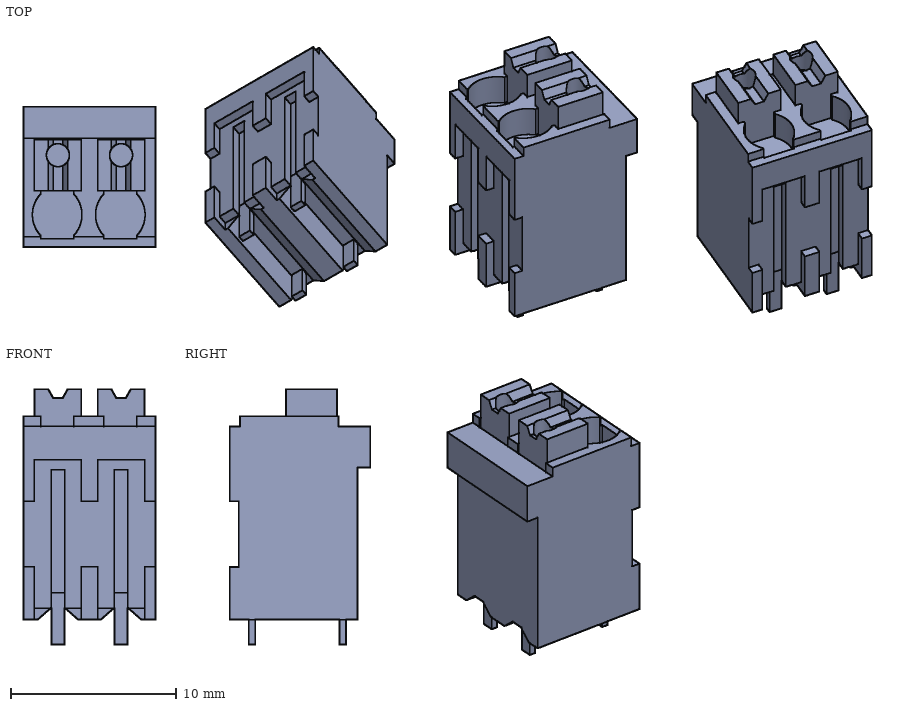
import cadquery as cq


POLE_COUNT = 2
POLE_PITCH = 3.82
POLE_XS = [(i - (POLE_COUNT - 1) / 2) * POLE_PITCH for i in range(POLE_COUNT)]

WIDTH = 8.0
BODY_DEPTH = 7.72
FULL_DEPTH = 8.5
BASE_Z = 1.51
SHOULDER_Z = 13.2
CROWN_Z = 13.81
CROWN_FRONT_Y = 0.62
CROWN_BACK_Y = 6.58
LEDGE_BASE_Z = 10.7

PIN_WIDTH = 0.8
PIN_THICKNESS = 0.4
PIN_TOP_Z = 3.14
FRONT_PIN_Y = 1.15
REAR_PIN_Y = 6.63

BUTTON_WIDTH = 2.85
BUTTON_FRONT_Y = 3.4
BUTTON_BACK_Y = 6.49
BUTTON_TOP_Z = 15.45
GROOVE_TOP_WIDTH = 1.17
GROOVE_FLOOR_WIDTH = 0.59
GROOVE_DEPTH = 0.53
TOOL_HOLE_DIAMETER = 1.39
TOOL_HOLE_Y = 5.56
TOOL_HOLE_FLOOR_Z = CROWN_Z

ENTRY_FLOOR_Z = 11.9
ENTRY_FRONT_Y = 0.51
ENTRY_CENTER_Y = 1.96
ENTRY_SHIFT_X = -0.05
ENTRY_NECK_WIDTH = 2.01
ENTRY_BULGE_WIDTH = 3.0
ENTRY_BULGE_LENGTH = 2.5

PANEL_WIDTH = BUTTON_WIDTH
PANEL_DEPTH = 0.54
PANEL_TOP_Z = 11.19
WINDOW_BASE_Z = 4.71
WINDOW_TOP_Z = 8.67
SLOT_TOP_Z = 10.58

CHANNEL_ROOF_Z = 2.21
CHANNEL_MOUTH_WIDTH = 2.44
CHANNEL_ROOF_WIDTH = 0.87


def block(x_center, width, y_range, z_range):
    """Rectangular block centred on x_center, spanning the given Y and Z ranges."""
    (y_min, y_max), (z_min, z_max) = y_range, z_range
    return (
        cq.Workplane("XY")
        .box(width, y_max - y_min, z_max - z_min, centered=(True, False, False))
        .translate((x_center, y_min, z_min))
    )


def trapezoid_bar(x_center, z_bottom, bottom_width, z_top, top_width, y_range):
    """Bar of trapezoidal section running along Y."""
    y_min, y_max = y_range
    return (
        cq.Workplane("XZ", origin=(x_center, y_min, 0))
        .moveTo(-bottom_width / 2, z_bottom)
        .lineTo(bottom_width / 2, z_bottom)
        .lineTo(top_width / 2, z_top)
        .lineTo(-top_width / 2, z_top)
        .close()
        .extrude(-(y_max - y_min))
    )


def make_pin(x_center, y_front):
    """Flat pin standing in the underside of the housing."""
    return block(x_center, PIN_WIDTH, (y_front, y_front + PIN_THICKNESS), (0, PIN_TOP_Z))


def make_button(x_center):
    """Push button with a tapered groove along its top and a blind hole for a tool."""
    groove_floor_z = BUTTON_TOP_Z - GROOVE_DEPTH
    button_y = (BUTTON_FRONT_Y, BUTTON_BACK_Y)
    button = block(x_center, BUTTON_WIDTH, button_y, (ENTRY_FLOOR_Z, BUTTON_TOP_Z))
    groove = trapezoid_bar(
        x_center, groove_floor_z, GROOVE_FLOOR_WIDTH, BUTTON_TOP_Z, GROOVE_TOP_WIDTH, button_y
    )
    tool_hole = (
        cq.Workplane("XY", origin=(x_center, TOOL_HOLE_Y, TOOL_HOLE_FLOOR_Z))
        .circle(TOOL_HOLE_DIAMETER / 2)
        .extrude(BUTTON_TOP_Z - TOOL_HOLE_FLOOR_Z)
    )
    return button.cut(groove).cut(tool_hole)


def wire_entry(x_center):
    """Entry pocket: a straight-sided neck that bulges outward in an arc on either side."""
    neck = ENTRY_NECK_WIDTH / 2
    bulge = ENTRY_BULGE_WIDTH / 2
    bulge_front_y = ENTRY_CENTER_Y - ENTRY_BULGE_LENGTH / 2
    bulge_back_y = ENTRY_CENTER_Y + ENTRY_BULGE_LENGTH / 2
    return (
        cq.Workplane("XY", origin=(x_center + ENTRY_SHIFT_X, 0, ENTRY_FLOOR_Z))
        .moveTo(-neck, ENTRY_FRONT_Y)
        .lineTo(neck, ENTRY_FRONT_Y)
        .lineTo(neck, bulge_front_y)
        .threePointArc((bulge, ENTRY_CENTER_Y), (neck, bulge_back_y))
        .lineTo(neck, BUTTON_FRONT_Y)
        .lineTo(-neck, BUTTON_FRONT_Y)
        .lineTo(-neck, bulge_back_y)
        .threePointArc((-bulge, ENTRY_CENTER_Y), (-neck, bulge_front_y))
        .close()
        .extrude(CROWN_Z - ENTRY_FLOOR_Z)
    )


def button_pocket(x_center):
    """Pocket that holds a button, open to the wire entry and to the back of the crown."""
    return block(x_center, BUTTON_WIDTH, (BUTTON_FRONT_Y, CROWN_BACK_Y), (ENTRY_FLOOR_Z, CROWN_Z))


def front_panel(x_center):
    """Recessed panel in the front face with a deeper slot that runs down to the pin."""
    panel = block(x_center, PANEL_WIDTH, (0, PANEL_DEPTH), (BASE_Z, PANEL_TOP_Z))
    slot = block(x_center, PIN_WIDTH, (0, FRONT_PIN_Y), (BASE_Z, SLOT_TOP_Z))
    return panel.union(slot)


def underside_channel(x_center):
    """Tapered channel through the underside, squared out to the panel width at its front end."""
    channel = trapezoid_bar(
        x_center, BASE_Z, CHANNEL_MOUTH_WIDTH, CHANNEL_ROOF_Z, CHANNEL_ROOF_WIDTH, (0, BODY_DEPTH)
    )
    front_end = block(x_center, PANEL_WIDTH, (0, FRONT_PIN_Y), (BASE_Z, CHANNEL_ROOF_Z))
    return channel.union(front_end)


def make_housing(bodies_inside):
    """Housing with its recesses, and a matching hole for each body that goes into it."""
    housing = (
        block(0, WIDTH, (0, BODY_DEPTH), (BASE_Z, SHOULDER_Z))
        .union(block(0, WIDTH, (0, FULL_DEPTH), (LEDGE_BASE_Z, SHOULDER_Z)))
        .union(block(0, WIDTH, (CROWN_FRONT_Y, CROWN_BACK_Y), (BASE_Z, CROWN_Z)))
    )
    window = block(0, WIDTH, (0, PANEL_DEPTH), (WINDOW_BASE_Z, WINDOW_TOP_Z))
    housing = housing.cut(window)
    for x in POLE_XS:
        for recess in (wire_entry(x), button_pocket(x), front_panel(x), underside_channel(x)):
            housing = housing.cut(recess)
    for body in bodies_inside:
        housing = housing.cut(body)
    return housing


buttons = [make_button(x) for x in POLE_XS]
front_pins = [make_pin(x, FRONT_PIN_Y) for x in POLE_XS]
rear_pins = [make_pin(x, REAR_PIN_Y) for x in POLE_XS]
pins = front_pins + rear_pins
housing = make_housing(pins)

result = cq.Compound.makeCompound([housing.val()] + [body.val() for body in buttons + pins])